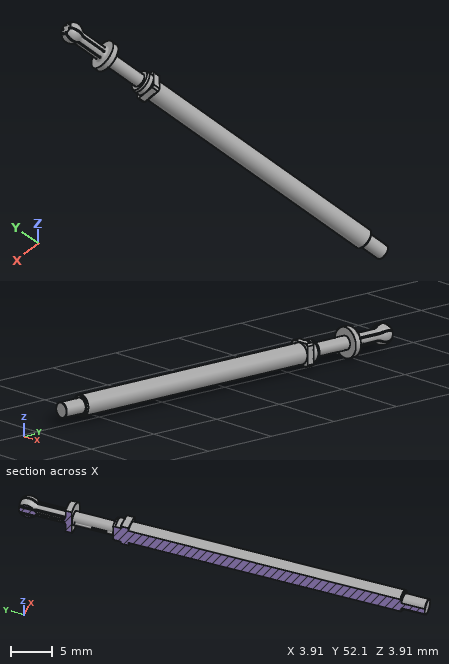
import cadquery as cq
import math

overall_length = 52.1

ball_radius = 1.35
neck_radius = 0.9
blend_end = 2.4
slot_count = 6
slot_width = 0.15
slot_floor_radius = 0.6

flange_radius = 1.955
flange_start = 6.0
flange_thickness = 0.85
flange_foot_fillet = 0.3

collar_start = 12.1
collar_radius = 1.45
collar_chamfer_length = 0.3
collar_chamfer_height = 0.1
square_start = 13.1
square_thickness = 1.0
square_side = 2 * collar_radius
square_corner_radius = 1.9

barrel_radius = 1.35
barrel_chamfer = 0.15
tail_radius = 1.0
tail_length = 3.0
tail_chamfer = 0.05

flange_end = flange_start + flange_thickness
slot_end = flange_start - flange_foot_fillet
square_end = square_start + square_thickness
barrel_end = overall_length - tail_length

ball_centre = math.sqrt(ball_radius**2 - neck_radius**2)

blend_rise = blend_end - ball_centre
blend_radius = (neck_radius**2 + blend_rise**2 - ball_radius**2) / (2 * (ball_radius - neck_radius))
blend_centre_radius = neck_radius + blend_radius
ball_share = ball_radius / (ball_radius + blend_radius)
blend_start = (ball_share * blend_centre_radius, ball_centre + ball_share * blend_rise)

half_diagonal = math.sqrt(0.5)
blend_angle = math.atan2(blend_rise, blend_centre_radius) / 2
blend_middle = (
    blend_centre_radius - blend_radius * math.cos(blend_angle),
    blend_end - blend_radius * math.sin(blend_angle),
)
foot_middle = (
    neck_radius + flange_foot_fillet * (1 - half_diagonal),
    slot_end + flange_foot_fillet * half_diagonal,
)


def at(radius, depth):
    """Profile point at a radius and a distance behind the tip."""
    return (-depth, radius)


def cylinder(radius, start, end):
    """Round bar on the pin axis between two distances behind the tip."""
    return cq.Workplane("XZ", origin=(0, -start, 0)).circle(radius).extrude(end - start)


def turned_body():
    """Every round stretch of the pin, as one revolved profile."""
    profile = (
        cq.Workplane("YZ")
        .moveTo(0, 0)
        .lineTo(*at(neck_radius, 0))
        .threePointArc(at(ball_radius, ball_centre), at(*blend_start))
        .threePointArc(at(*blend_middle), at(neck_radius, blend_end))
        .lineTo(*at(neck_radius, slot_end))
        .threePointArc(at(*foot_middle), at(neck_radius + flange_foot_fillet, flange_start))
        .lineTo(*at(flange_radius, flange_start))
        .lineTo(*at(flange_radius, flange_end))
        .lineTo(*at(neck_radius, flange_end))
        .lineTo(*at(neck_radius, collar_start))
        .lineTo(*at(collar_radius - collar_chamfer_height, collar_start))
        .lineTo(*at(collar_radius, collar_start + collar_chamfer_length))
        .lineTo(*at(collar_radius, square_end))
        .lineTo(*at(barrel_radius, square_end))
        .lineTo(*at(barrel_radius, barrel_end - barrel_chamfer))
        .lineTo(*at(barrel_radius - barrel_chamfer, barrel_end))
        .lineTo(*at(tail_radius, barrel_end))
        .lineTo(*at(tail_radius, overall_length - tail_chamfer))
        .lineTo(*at(tail_radius - tail_chamfer, overall_length))
        .lineTo(*at(0, overall_length))
        .close()
    )
    return profile.revolve(360, (0, 0), (1, 0))


def square_section():
    """Square block whose corners are trimmed to a circle."""
    block = (
        cq.Workplane("XZ", origin=(0, -square_start, 0))
        .rect(square_side, square_side)
        .extrude(square_thickness)
    )
    return block.intersect(cylinder(square_corner_radius, square_start, square_end))


def slots():
    """Narrow slots around the ball and neck, leaving a solid core."""
    slot = (
        cq.Workplane("XY", origin=(0, -slot_end, 0))
        .box(slot_width, slot_end, flange_radius, centered=(True, False, False))
    )
    cutter = slot
    for i in range(1, slot_count):
        cutter = cutter.union(slot.rotate((0, 0, 0), (0, 1, 0), i * 360 / slot_count))
    return cutter.cut(cylinder(slot_floor_radius, 0, slot_end))


result = turned_body().union(square_section()).cut(slots())